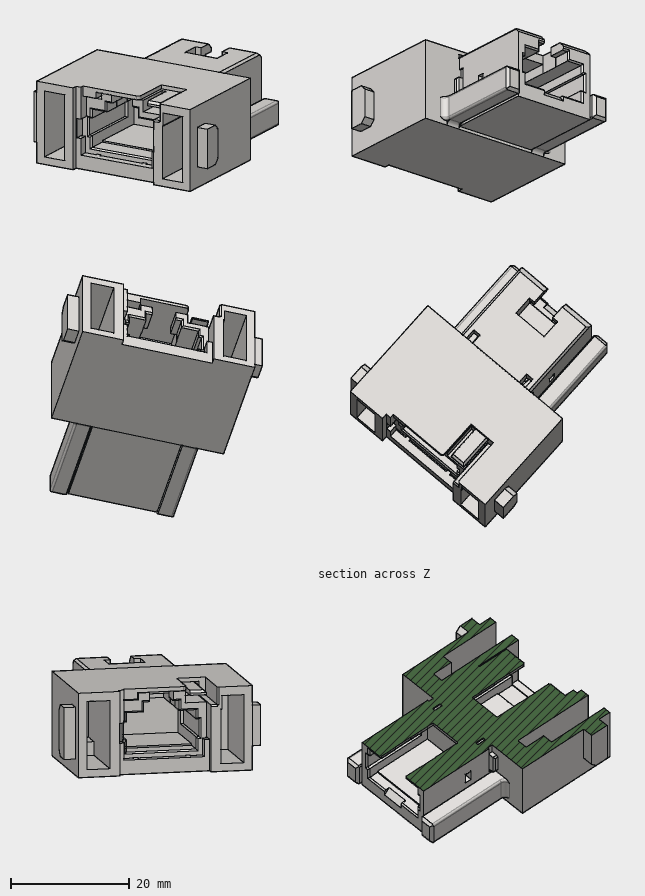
import cadquery as cq
import math

BODY_HALF = 15.12
BODY_DEPTH = 20.0
BODY_HEIGHT = 14.6

TAB_REACH = 1.98
TAB_FRONT = 2.4
TAB_BACK = 6.0
TAB_CHAMFER = 0.95
LEFT_TAB_BOTTOM = 2.8
LEFT_TAB_TOP = 11.75
RIGHT_TAB_BOTTOM = 3.72
RIGHT_TAB_TOP = 10.75

POCKET_INNER = 9.65
POCKET_OUTER = 13.63
POCKET_BOTTOM = 1.35
POCKET_TOP = 13.1
POCKET_DEPTH = 12.0
DEEP_POCKET_OUTER = 11.64
DEEP_POCKET_DEPTH = 16.0
POCKET_LEDGE = 0.15

RECESS_HALF = 7.92
RECESS_DEPTH = 1.0
LIP_DEPTH = 1.75
PANEL_BACK = 2.5
INSERT_FRONT = 2.9
OPENING_HALF = 7.0
NOTCH_HALF = 7.8
OPENING_FLOOR = 2.5
NOTCH_BOTTOM = 5.45
NOTCH_TOP = 8.9
KEY_EDGE = -4.44
KEY_BOTTOM = 12.8
CEILING = 13.9

PANEL_GAP_BOTTOM = 1.5
BRIDGE_INNER = 4.15
BRIDGE_OUTER = 4.95

INSERT_HALF = 7.78
INSERT_BOTTOM = 0.56
INSERT_TOP = 13.6
INSERT_BACK = 35.94
INSERT_EDGE_CHAMFER = 0.4
INSERT_BACK_CHAMFER = 1.0
KEY_GAP = 0.4

ARM_ROOT = 9.1
ARM_EDGE = 4.98
ARM_BOTTOM = 12.8
ARM_NOSE_CHAMFER = 0.43
ARM_RELIEF_INNER = 6.03
ARM_RELIEF_OUTER = 6.54
ARM_RELIEF_DEPTH = 0.5
ARM_SLOT_EDGE = 4.15
ARM_SLOT_FLOOR = 11.55
TOP_SLOT_EDGE = 4.07
TOP_SLOT_RADIUS = 0.55
CHANNEL_OUTER = 9.03
CHANNEL_FLOOR = 11.55
CHANNEL_CHAMFER = 0.27

PORT_HALF = 6.05
PORT_FLOOR = 3.44
PORT_TOP = 10.24
PORT_EAR_HALF = 6.6
PORT_EAR_BOTTOM = 5.55
PORT_EAR_TOP = 8.65
PORT_STEP_HALF = 3.1
PORT_STEP_TOP = 11.97
PORT_ENTRY_CHAMFER = 0.27
PORT_FLOOR_RISE = 0.27
PORT_SIDE_DEPTH = 12.0
FRONT_FLOOR_RUN = 3.6
FRONT_PORT_DEPTH = 14.0
BACK_FLOOR_RUN = 2.0
BACK_PORT_DEPTH = 13.4
BACK_FLOOR_LEAD = 1.06
LATCH_HALF = 2.06
LATCH_NECK = 3.46
LATCH_WIDE_HALF = 3.15
LATCH_LENGTH = 6.94

SIDE_WINDOW_FRONT = 25.1
SIDE_WINDOW_BACK = 26.35
SIDE_WINDOW_BOTTOM = 6.2
SIDE_WINDOW_TOP = 8.16
TOP_WINDOW_INNER = 5.22
TOP_WINDOW_STEP = 5.67
TOP_WINDOW_OUTER = 6.6
TOP_WINDOW_BACK = 22.1
TOP_WINDOW_STEP_BACK = 21.6
TOP_WINDOW_STEP_DROP = 0.5

RAIL_INNER = 7.88
RAIL_OUTER = 10.86
RAIL_BOTTOM = 0.8
RAIL_TOP = 5.2
RAIL_BACK = 36.9
RAIL_OUTER_FILLET = 0.4
RAIL_INNER_CHAMFER = 0.2
RAIL_TIP_CHAMFER = 0.5
FLARE_RADIUS = 1.0

CATCH_OUTER = 8.9
CATCH_LENGTH = 0.85
CATCH_BOTTOM = 5.6
CATCH_TOP = 9.2
CATCH_CHAMFER = 0.3
RELIEF_DEPTH = 0.3
RELIEF_LENGTH = 0.95
RELIEF_TOP = 11.1


def box(x0, x1, y0, y1, z0, z1):
    """Block between two opposite corners."""
    block = cq.Workplane("XY").box(x1 - x0, y1 - y0, z1 - z0, centered=False)
    return block.translate((x0, y0, z0))


def prism_y(points, y0, y1):
    """Outline given as (x, z) points, extruded along Y from y0 to y1."""
    outline = cq.Workplane("XZ", origin=(0, y0, 0)).polyline(points).close()
    return outline.extrude(y0 - y1)


def prism_x(points, x0, x1):
    """Outline given as (y, z) points, extruded along X from x0 to x1."""
    outline = cq.Workplane("YZ", origin=(x0, 0, 0)).polyline(points).close()
    return outline.extrude(x1 - x0)


def mirrored(shape):
    """The shape together with its mirror image across the YZ plane."""
    return shape.union(shape.mirror("YZ"))


def housing():
    body = box(-BODY_HALF, BODY_HALF, 0, BODY_DEPTH, 0, BODY_HEIGHT)
    left_tab = box(-BODY_HALF - TAB_REACH, -BODY_HALF, TAB_FRONT, TAB_BACK, LEFT_TAB_BOTTOM, LEFT_TAB_TOP)
    right_tab = box(BODY_HALF, BODY_HALF + TAB_REACH, TAB_FRONT, TAB_BACK, RIGHT_TAB_BOTTOM, RIGHT_TAB_TOP)
    for tab in (left_tab, right_tab):
        body = body.union(tab.faces(">Y").edges("|X").chamfer(TAB_CHAMFER))
    return body


def pillar_pockets():
    outer = box(POCKET_INNER, POCKET_OUTER, 0, POCKET_DEPTH, POCKET_BOTTOM, POCKET_TOP)
    deep = box(POCKET_INNER, DEEP_POCKET_OUTER, 0, DEEP_POCKET_DEPTH, RIGHT_TAB_BOTTOM, RIGHT_TAB_TOP)
    ledge = box(POCKET_INNER, POCKET_INNER + POCKET_LEDGE, 0, POCKET_DEPTH, RIGHT_TAB_TOP, POCKET_TOP)
    left = outer.union(deep).mirror("YZ")
    right = outer.cut(ledge).union(deep)
    return left.union(right)


def front_opening():
    recess = box(-RECESS_HALF, RECESS_HALF, 0, RECESS_DEPTH, 0, BODY_HEIGHT)
    lip = box(-OPENING_HALF, RECESS_HALF, RECESS_DEPTH, LIP_DEPTH, NOTCH_TOP, BODY_HEIGHT)
    outline = [
        (-OPENING_HALF, OPENING_FLOOR),
        (OPENING_HALF, OPENING_FLOOR),
        (OPENING_HALF, NOTCH_BOTTOM),
        (RECESS_HALF, NOTCH_BOTTOM),
        (RECESS_HALF, CEILING),
        (KEY_EDGE, CEILING),
        (KEY_EDGE, KEY_BOTTOM),
        (-OPENING_HALF, KEY_BOTTOM),
        (-OPENING_HALF, NOTCH_TOP),
        (-NOTCH_HALF, NOTCH_TOP),
        (-NOTCH_HALF, NOTCH_BOTTOM),
        (-OPENING_HALF, NOTCH_BOTTOM),
    ]
    return recess.union(lip).union(prism_y(outline, RECESS_DEPTH, INSERT_FRONT))


def panel_gap():
    gap = box(-INSERT_HALF, INSERT_HALF, PANEL_BACK, INSERT_FRONT, PANEL_GAP_BOTTOM, NOTCH_BOTTOM)
    bridge = box(BRIDGE_INNER, BRIDGE_OUTER, PANEL_BACK, INSERT_FRONT, PANEL_GAP_BOTTOM, OPENING_FLOOR)
    return gap.cut(mirrored(bridge))


def insert_clearance():
    """Gap between the insert and the housing: over the insert, and around the key on the left."""
    over_insert = prism_y(
        [
            (KEY_EDGE, INSERT_TOP),
            (INSERT_HALF - INSERT_EDGE_CHAMFER, INSERT_TOP),
            (INSERT_HALF, INSERT_TOP - INSERT_EDGE_CHAMFER),
            (RECESS_HALF, INSERT_TOP - INSERT_EDGE_CHAMFER),
            (RECESS_HALF, CEILING),
            (KEY_EDGE, CEILING),
        ],
        INSERT_FRONT,
        BODY_DEPTH,
    )
    gap_side = KEY_EDGE + KEY_GAP
    gap_bottom = KEY_BOTTOM - KEY_GAP
    under_key = box(-OPENING_HALF, gap_side, INSERT_FRONT, ARM_ROOT, gap_bottom, KEY_BOTTOM)
    beside_key = box(KEY_EDGE, gap_side, INSERT_FRONT, ARM_ROOT, gap_bottom, INSERT_TOP)
    return over_insert.union(under_key).union(beside_key)


def arm_slots():
    """Openings that free the release arm at the top right of the insert."""
    roof = box(TOP_SLOT_EDGE, RECESS_HALF, LIP_DEPTH, ARM_ROOT, CEILING, BODY_HEIGHT)
    corner_blank = box(
        TOP_SLOT_EDGE - TOP_SLOT_RADIUS,
        TOP_SLOT_EDGE,
        LIP_DEPTH,
        LIP_DEPTH + TOP_SLOT_RADIUS,
        CEILING,
        BODY_HEIGHT,
    )
    corner_round = (
        cq.Workplane("XY", origin=(0, 0, CEILING))
        .center(TOP_SLOT_EDGE - TOP_SLOT_RADIUS, LIP_DEPTH + TOP_SLOT_RADIUS)
        .circle(TOP_SLOT_RADIUS)
        .extrude(BODY_HEIGHT - CEILING)
    )
    beside_arm = box(ARM_SLOT_EDGE, ARM_EDGE, INSERT_FRONT, ARM_ROOT, ARM_SLOT_FLOOR, INSERT_TOP)
    under_arm = box(ARM_SLOT_EDGE, INSERT_HALF, INSERT_FRONT, ARM_ROOT, ARM_SLOT_FLOOR, ARM_BOTTOM)
    back_relief = box(
        ARM_RELIEF_INNER,
        ARM_RELIEF_OUTER,
        ARM_ROOT,
        ARM_ROOT + ARM_RELIEF_DEPTH,
        ARM_SLOT_FLOOR,
        ARM_BOTTOM,
    )
    outside_arm = box(INSERT_HALF, RECESS_HALF, INSERT_FRONT, ARM_ROOT, NOTCH_BOTTOM, CEILING)
    nose = prism_x(
        [
            (INSERT_FRONT, INSERT_TOP - ARM_NOSE_CHAMFER),
            (INSERT_FRONT, INSERT_TOP),
            (INSERT_FRONT + ARM_NOSE_CHAMFER, INSERT_TOP),
        ],
        ARM_EDGE,
        RECESS_HALF,
    )
    cutter = roof.union(corner_blank.cut(corner_round))
    for part in (beside_arm, under_arm, back_relief, outside_arm, nose):
        cutter = cutter.union(part)
    return cutter


def arm_channel():
    """Open channel beside the release arm, flared where it meets the front face."""
    channel = box(RECESS_HALF, CHANNEL_OUTER, 0, ARM_ROOT, CHANNEL_FLOOR, BODY_HEIGHT)
    side_flare = (
        cq.Workplane("XY", origin=(0, 0, CHANNEL_FLOOR))
        .polyline([(CHANNEL_OUTER, 0), (CHANNEL_OUTER + CHANNEL_CHAMFER, 0), (CHANNEL_OUTER, CHANNEL_CHAMFER)])
        .close()
        .extrude(BODY_HEIGHT - CHANNEL_FLOOR)
    )
    floor_flare = prism_x(
        [(0, CHANNEL_FLOOR), (0, CHANNEL_FLOOR - CHANNEL_CHAMFER), (CHANNEL_CHAMFER, CHANNEL_FLOOR)],
        RECESS_HALF,
        CHANNEL_OUTER,
    )
    return channel.union(side_flare).union(floor_flare)


def exposed_insert():
    block = box(-INSERT_HALF, INSERT_HALF, BODY_DEPTH, INSERT_BACK, INSERT_BOTTOM, INSERT_TOP)
    block = block.faces(">Z").edges("|Y").chamfer(INSERT_EDGE_CHAMFER)
    return block.faces(">Y").edges(">Z").chamfer(INSERT_BACK_CHAMFER)


def port_outline(y, margin):
    """Plug outline in the plane at y, grown outward by margin on every side."""
    half_outline = [
        (PORT_HALF + margin, PORT_FLOOR - margin),
        (PORT_HALF + margin, PORT_EAR_BOTTOM - margin),
        (PORT_EAR_HALF + margin, PORT_EAR_BOTTOM - margin),
        (PORT_EAR_HALF + margin, PORT_EAR_TOP + margin),
        (PORT_HALF + margin, PORT_EAR_TOP + margin),
        (PORT_HALF + margin, PORT_TOP + margin),
        (PORT_STEP_HALF + margin, PORT_TOP + margin),
        (PORT_STEP_HALF + margin, PORT_STEP_TOP + margin),
    ]
    other_half = [(-x, z) for x, z in reversed(half_outline)]
    corners = [cq.Vector(x, y, z) for x, z in half_outline + other_half]
    return cq.Wire.makePolygon(corners, close=True)


def port(depth, floor_run):
    """Plug cavity with its mouth at Y = 0, going into +Y."""
    cavity = box(-PORT_HALF, PORT_HALF, 0, depth, PORT_FLOOR, PORT_TOP)
    ears = box(-PORT_EAR_HALF, PORT_EAR_HALF, 0, PORT_SIDE_DEPTH, PORT_EAR_BOTTOM, PORT_EAR_TOP)
    step = box(-PORT_STEP_HALF, PORT_STEP_HALF, 0, PORT_SIDE_DEPTH, PORT_TOP, PORT_STEP_TOP)
    cavity = cavity.union(ears).union(step)
    mouth = port_outline(0, PORT_ENTRY_CHAMFER)
    throat = port_outline(PORT_ENTRY_CHAMFER, 0)
    cavity = cavity.union(cq.Workplane(cq.Solid.makeLoft([mouth, throat], True)))
    floor_step = box(-PORT_HALF, PORT_HALF, floor_run, depth, PORT_FLOOR, PORT_FLOOR + PORT_FLOOR_RISE)
    neck = box(-LATCH_HALF, LATCH_HALF, 0, LATCH_NECK, PORT_TOP, INSERT_TOP)
    wide = box(-LATCH_WIDE_HALF, LATCH_WIDE_HALF, LATCH_NECK, LATCH_LENGTH, PORT_TOP, INSERT_TOP)
    return cavity.cut(floor_step).union(neck).union(wide)


def front_port():
    return port(FRONT_PORT_DEPTH, FRONT_FLOOR_RUN).translate((0, INSERT_FRONT, 0))


def back_port():
    cavity = port(BACK_PORT_DEPTH, BACK_FLOOR_RUN).mirror("XZ").translate((0, INSERT_BACK, 0))
    floor_lead = prism_x(
        [
            (INSERT_BACK, PORT_FLOOR),
            (INSERT_BACK, PORT_FLOOR - BACK_FLOOR_LEAD),
            (INSERT_BACK - BACK_FLOOR_LEAD, PORT_FLOOR),
        ],
        -LATCH_HALF,
        LATCH_HALF,
    )
    return cavity.union(floor_lead)


def insert_windows():
    side = box(
        -INSERT_HALF,
        INSERT_HALF,
        SIDE_WINDOW_FRONT,
        SIDE_WINDOW_BACK,
        SIDE_WINDOW_BOTTOM,
        SIDE_WINDOW_TOP,
    )
    top = box(TOP_WINDOW_INNER, TOP_WINDOW_OUTER, BODY_DEPTH, TOP_WINDOW_BACK, ARM_SLOT_FLOOR, INSERT_TOP)
    step_floor = ARM_SLOT_FLOOR - TOP_WINDOW_STEP_DROP
    step = box(TOP_WINDOW_INNER, TOP_WINDOW_STEP, BODY_DEPTH, TOP_WINDOW_BACK, step_floor, ARM_SLOT_FLOOR)
    well = box(
        TOP_WINDOW_INNER,
        TOP_WINDOW_STEP,
        BODY_DEPTH,
        TOP_WINDOW_STEP_BACK,
        step_floor - TOP_WINDOW_STEP_DROP,
        step_floor,
    )
    relief = box(
        INSERT_HALF - RELIEF_DEPTH,
        INSERT_HALF,
        BODY_DEPTH,
        BODY_DEPTH + RELIEF_LENGTH,
        RAIL_TOP,
        RELIEF_TOP,
    )
    return side.union(mirrored(top.union(step).union(well).union(relief)))


def quarter_point(radius):
    """Distance of a concave arc's midpoint from each of the two faces it blends."""
    return radius * (1 - math.sqrt(0.5))


def rails():
    """Guide rails whose outer sides flare out into the back of the housing."""
    arc_offset = quarter_point(FLARE_RADIUS)
    tip_start = RAIL_BACK - RAIL_TIP_CHAMFER
    rail = (
        cq.Workplane("XY", origin=(0, 0, RAIL_BOTTOM))
        .moveTo(RAIL_INNER, BODY_DEPTH)
        .lineTo(RAIL_OUTER + FLARE_RADIUS, BODY_DEPTH)
        .threePointArc(
            (RAIL_OUTER + arc_offset, BODY_DEPTH + arc_offset),
            (RAIL_OUTER, BODY_DEPTH + FLARE_RADIUS),
        )
        .lineTo(RAIL_OUTER, tip_start)
        .lineTo(RAIL_OUTER - RAIL_TIP_CHAMFER, RAIL_BACK)
        .lineTo(RAIL_INNER + RAIL_TIP_CHAMFER, RAIL_BACK)
        .lineTo(RAIL_INNER, tip_start)
        .close()
        .extrude(RAIL_TOP - RAIL_BOTTOM)
    )
    rail = rail.faces("<X").edges("|Y").chamfer(RAIL_INNER_CHAMFER)
    for height in (RAIL_BOTTOM, RAIL_TOP):
        outer_edges = cq.selectors.BoxSelector(
            (RAIL_OUTER - RAIL_OUTER_FILLET, BODY_DEPTH, height - RAIL_OUTER_FILLET),
            (RAIL_OUTER + FLARE_RADIUS, tip_start, height + RAIL_OUTER_FILLET),
        )
        rail = rail.edges(outer_edges).fillet(RAIL_OUTER_FILLET)
    side_profile = prism_x(
        [
            (BODY_DEPTH, RAIL_BOTTOM),
            (tip_start, RAIL_BOTTOM),
            (RAIL_BACK, RAIL_BOTTOM + RAIL_TIP_CHAMFER),
            (RAIL_BACK, RAIL_TOP - RAIL_TIP_CHAMFER),
            (tip_start, RAIL_TOP),
            (BODY_DEPTH, RAIL_TOP),
        ],
        RAIL_INNER,
        RAIL_OUTER + FLARE_RADIUS,
    )
    return mirrored(rail.intersect(side_profile))


def rail_undersides():
    """Concave flares that blend each rail's underside into the back of the housing."""
    arc_offset = quarter_point(RAIL_BOTTOM)
    under = (
        cq.Workplane("YZ", origin=(RAIL_INNER, 0, 0))
        .moveTo(BODY_DEPTH, RAIL_BOTTOM)
        .lineTo(BODY_DEPTH, 0)
        .threePointArc(
            (BODY_DEPTH + arc_offset, RAIL_BOTTOM - arc_offset),
            (BODY_DEPTH + RAIL_BOTTOM, RAIL_BOTTOM),
        )
        .close()
        .extrude(RAIL_OUTER - RAIL_OUTER_FILLET - RAIL_INNER)
    )
    return mirrored(under)


def catches():
    catch = box(
        INSERT_HALF - RELIEF_DEPTH,
        CATCH_OUTER,
        BODY_DEPTH,
        BODY_DEPTH + CATCH_LENGTH,
        CATCH_BOTTOM,
        CATCH_TOP,
    )
    return mirrored(catch.faces(">X").edges(">Z or <Z or >Y").chamfer(CATCH_CHAMFER))


result = (
    housing()
    .union(exposed_insert())
    .union(rails())
    .union(rail_undersides())
    .cut(pillar_pockets())
    .cut(front_opening())
    .cut(panel_gap())
    .cut(insert_clearance())
    .cut(arm_slots())
    .cut(arm_channel())
    .cut(front_port())
    .cut(back_port())
    .cut(insert_windows())
    .union(catches())
)